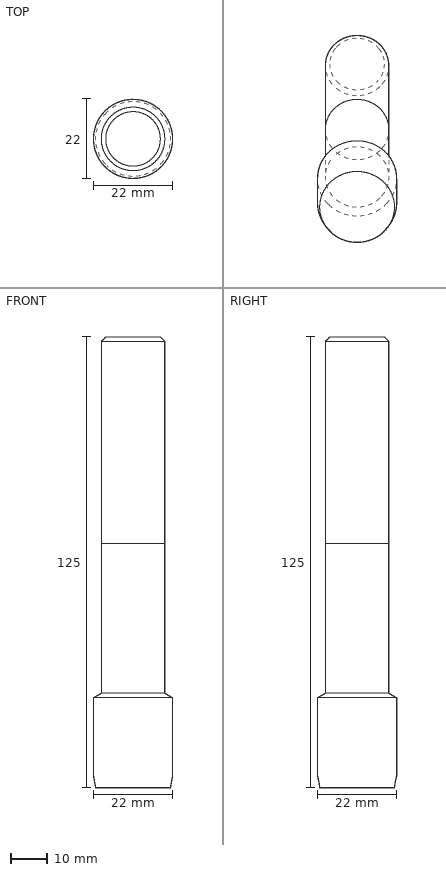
import cadquery as cq

total_length = 125.0

shaft_diameter = 17.6
tip_chamfer = 1.2
joint_height = 67.8

collar_diameter = 22.0
collar_length = 26.2
shoulder_height = 1.2
lead_in_height = 3.4
lead_in_inset = 0.6

shaft_radius = shaft_diameter / 2
collar_radius = collar_diameter / 2


def make_collared_shaft():
    """Lower body: a collar with conical ends, carrying the lower shaft."""
    half_profile = (
        cq.Workplane("XZ")
        .moveTo(0, 0)
        .lineTo(collar_radius - lead_in_inset, 0)
        .lineTo(collar_radius, lead_in_height)
        .lineTo(collar_radius, collar_length - shoulder_height)
        .lineTo(shaft_radius, collar_length)
        .lineTo(shaft_radius, joint_height)
        .lineTo(0, joint_height)
        .close()
    )
    return half_profile.revolve(360, (0, 0, 0), (0, 1, 0))


def make_upper_shaft():
    """Upper body: a plain cylinder on the joint face, chamfered at its free end."""
    return (
        cq.Workplane("XY")
        .workplane(offset=joint_height)
        .circle(shaft_radius)
        .extrude(total_length - joint_height)
        .faces(">Z")
        .chamfer(tip_chamfer)
    )


collared_shaft = make_collared_shaft()
upper_shaft = make_upper_shaft()

result = cq.Compound.makeCompound([collared_shaft.val(), upper_shaft.val()])